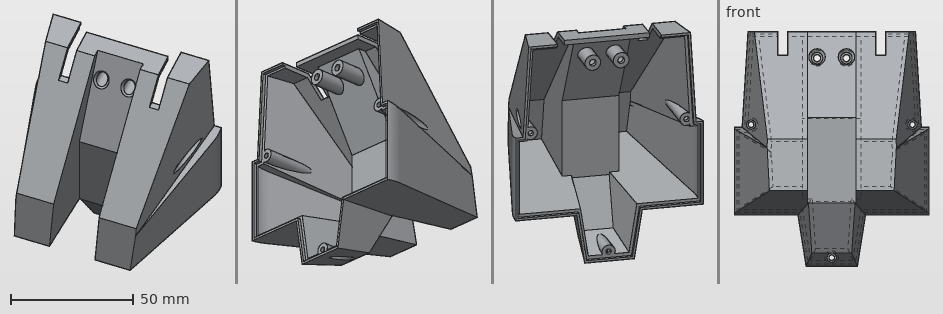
import cadquery as cq
import math

height = 96.0
depth = 65.0
half_width = 39.87
wall = 2.0
overrun = 5.0

lower_bottom_back_z = 21.0
nose_bottom_z = 31.0
lower_top_back_z = 57.0
lower_top_front_z = 48.5
nose_half_width = 25.5
side_slope = 0.2386
side_radius = 20.0

roof_depth = 15.0
brow_y = -60.4
brow_z = 52.2
upper_top_half_width = 34.3
upper_flare_per_z = -0.061
upper_flare_per_y = 0.176

tail_tip_half_width = 10.5
tail_flare = 0.160
tail_lip_y = -20.2
tail_lip_z = 5.6
tail_top_z = 26.0

channel_half_width = 10.0
channel_top_y = -11.7
channel_knee_y = -32.0
channel_knee_z = 61.0

recess_lip = 1.0
recess_depth = 1.5
plate_front_y = -4.1
slot_outer_x = 22.0
slot_width = 4.0
slot_depth = 9.6

corner_screw_xz = [(-33.0, 58.0), (33.0, 58.0), (0.0, 3.6)]
corner_hole_diameter = 2.2
corner_bore_diameter = 3.8
corner_boss_diameter = 5.6
corner_boss_reach = 40.0

plate_screw_xz = [(-6.0, 85.2), (6.0, 85.2)]
plate_hole_diameter = 2.8
plate_bore_diameter = 4.7
plate_boss_diameter = 6.6
mouth_chamfer = 1.0

screw_seat = 2.0


def line_at(start, end, position):
    """Second coordinate of the line start-end at the given first coordinate."""
    slope = (end[1] - start[1]) / (end[0] - start[0])
    return start[1] + slope * (position - start[0])


def nose_y(z):
    return line_at((nose_bottom_z, -depth), (brow_z, brow_y), z)


def bottom_z(y):
    return line_at((0, lower_bottom_back_z), (-depth, nose_bottom_z), y)


def shoulder_z(y):
    return line_at((0, lower_top_back_z), (nose_y(lower_top_front_z), lower_top_front_z), y)


def channel_floor_y(z):
    return line_at((height, channel_top_y), (channel_knee_z, channel_knee_y), z)


def side_profile(points, inset):
    """Extrude a YZ outline, shrunk by inset, right across the part."""
    outline = cq.Workplane("YZ").polyline(points).close()
    if inset:
        outline = outline.offset2D(-inset)
    return outline.extrude(half_width, both=True)


def flared_column(half_width_at_zero, per_z, per_y, inset):
    """Tall column whose flat sides flare with Z and Y, moved in by inset."""
    shift = inset * math.sqrt(1 + per_z**2 + per_y**2)

    def section(z):
        back = half_width_at_zero - shift + per_z * z + per_y * overrun
        front = half_width_at_zero - shift + per_z * z - per_y * depth
        corners = [(-back, overrun), (back, overrun), (front, -depth), (-front, -depth)]
        return cq.Wire.makePolygon([cq.Vector(x, y, z) for x, y in corners], close=True)

    return cq.Workplane(cq.Solid.makeLoft([section(-overrun), section(height)], True))


def lower_plan(inset):
    """Full-height column with the plan outline of the lower body."""
    angle = math.atan(side_slope)
    center_x = half_width - side_radius
    tangent_x = center_x + side_radius * math.cos(angle)
    tangent_y = (tangent_x - nose_half_width) / side_slope - depth
    center_y = tangent_y + side_radius * math.sin(angle)
    back_x = center_x + math.sqrt(side_radius**2 - (overrun - center_y) ** 2)
    outline = (
        cq.Workplane("XY")
        .moveTo(-nose_half_width, -depth)
        .lineTo(nose_half_width, -depth)
        .lineTo(tangent_x, tangent_y)
        .threePointArc((half_width, center_y), (back_x, overrun))
        .lineTo(-back_x, overrun)
        .threePointArc((-half_width, center_y), (-tangent_x, tangent_y))
        .close()
    )
    if inset:
        outline = outline.offset2D(-inset)
    return outline.extrude(height)


def lower_body(inset):
    points = [
        (overrun, bottom_z(overrun)),
        (-depth, nose_bottom_z),
        (nose_y(lower_top_front_z), lower_top_front_z),
        (overrun, shoulder_z(overrun)),
    ]
    return side_profile(points, inset).intersect(lower_plan(inset))


def upper_body(inset):
    drop = 3 * inset
    root_z = lower_top_front_z - drop
    points = [
        (overrun, shoulder_z(overrun) - drop),
        (nose_y(root_z), root_z),
        (brow_y, brow_z),
        (-roof_depth, height),
        (overrun, height),
    ]
    half_width_at_zero = upper_top_half_width - upper_flare_per_z * height
    column = flared_column(half_width_at_zero, upper_flare_per_z, upper_flare_per_y, inset)
    return side_profile(points, inset).intersect(column)


def tail_body(inset):
    root_z = tail_top_z + 3 * wall
    points = [
        (overrun, line_at((0, 0), (tail_lip_y, tail_lip_z), overrun)),
        (tail_lip_y, tail_lip_z),
        (channel_knee_y, tail_top_z),
        (channel_knee_y, root_z),
        (overrun, root_z),
    ]
    column = flared_column(tail_tip_half_width, tail_flare, tail_flare, inset)
    return side_profile(points, inset).intersect(column)


def channel(growth):
    """Space of the front channel, grown outward on its floor and flanks."""
    front_y = -depth - overrun
    top_z = height + overrun
    points = [
        (front_y, 0),
        (channel_knee_y, 0),
        (channel_knee_y, channel_knee_z),
        (channel_floor_y(top_z), top_z),
        (front_y, top_z),
    ]
    outline = cq.Workplane("YZ").polyline(points).close()
    if growth:
        outline = outline.offset2D(growth, "intersection")
    return outline.extrude(channel_half_width + growth, both=True)


def envelope(inset):
    return lower_body(inset).union(upper_body(inset)).union(tail_body(inset))


def behind_back_plane():
    size = 3 * height
    return cq.Workplane("XY").box(size, size, size).translate((0, size / 2, 0))


def y_cylinder(center_xz, diameter, back_y, front_y):
    x, z = center_xz
    base = cq.Workplane("XZ", origin=(x, back_y, z))
    return base.circle(diameter / 2).extrude(back_y - front_y)


def back_recess():
    """Shallow straight-walled pocket following the back outline, leaving a thin lip."""
    back = envelope(recess_lip).cut(behind_back_plane()).clean().faces(">Y")
    return back.workplane().add(back.wires()).toPending().extrude(-recess_depth, combine=False)


def corner_screws(body, outer):
    """Add the corner screw bosses, then bore them from the front."""
    seat_y = -recess_depth - screw_seat
    for center in corner_screw_xz:
        boss = y_cylinder(center, corner_boss_diameter, -recess_depth, -corner_boss_reach)
        body = body.union(boss.intersect(outer))
    for center in corner_screw_xz:
        body = body.cut(y_cylinder(center, corner_hole_diameter, 0, -depth))
        body = body.cut(y_cylinder(center, corner_bore_diameter, seat_y, -depth))
    return body


def tilted_ellipse(top, bottom, half_across):
    """Ellipse centered on X = 0 whose highest and lowest points are given as (Y, Z)."""
    rise = cq.Vector(0, top[0] - bottom[0], top[1] - bottom[1])
    across = cq.Vector(1, 0, 0)
    center = cq.Vector(0, (top[0] + bottom[0]) / 2, (top[1] + bottom[1]) / 2)
    return cq.Wire.makeEllipse(
        half_across, rise.Length / 2, center, across.cross(rise), across, rotation_angle=0
    )


def bore_mouth_chamfer(center_z):
    """Chamfer where a plate screw bore meets the leaning channel floor, at X = 0.

    The setback grows where the floor and the bore meet at a sharp angle (top)
    and shrinks where they meet at a blunt one (bottom).
    """
    radius = plate_bore_diameter / 2
    lean = math.atan2(channel_top_y - channel_knee_y, height - channel_knee_z)
    top_setback = mouth_chamfer / math.tan((math.pi / 2 - lean) / 2)
    bottom_setback = mouth_chamfer / math.tan((math.pi / 2 + lean) / 2)
    bore_top_z = center_z + radius
    bore_bottom_z = center_z - radius
    outer_top_z = bore_top_z + top_setback * math.cos(lean)
    outer_bottom_z = bore_bottom_z - bottom_setback * math.cos(lean)
    outer_edge = tilted_ellipse(
        (channel_floor_y(outer_top_z), outer_top_z),
        (channel_floor_y(outer_bottom_z), outer_bottom_z),
        radius + mouth_chamfer,
    )
    inner_edge = tilted_ellipse(
        (channel_floor_y(bore_top_z) + top_setback, bore_top_z),
        (channel_floor_y(bore_bottom_z) + bottom_setback, bore_bottom_z),
        radius,
    )
    return cq.Workplane(cq.Solid.makeLoft([outer_edge, inner_edge], True))


def plate_screws(body, outer):
    """Add the plate screw bosses, bore them and chamfer the mouths of the bores."""
    seat_y = plate_front_y - screw_seat
    for center in plate_screw_xz:
        boss = y_cylinder(center, plate_boss_diameter, plate_front_y, channel_knee_y)
        body = body.union(boss.intersect(outer))
    for x, z in plate_screw_xz:
        body = body.cut(y_cylinder((x, z), plate_hole_diameter, 0, -depth))
        body = body.cut(y_cylinder((x, z), plate_bore_diameter, seat_y, -depth))
        body = body.cut(bore_mouth_chamfer(z).translate((x, 0, 0)))
    return body


def plate_opening():
    """Cut in the roof behind the bridge, with a slot down the front at each end."""
    front_y = -depth
    opening = cq.Workplane("XY").box(
        2 * slot_outer_x, -plate_front_y, slot_depth, centered=(True, False, False)
    ).translate((0, plate_front_y, height - slot_depth))
    slot = cq.Workplane("XY").box(slot_width, -front_y, slot_depth, centered=(True, False, False))
    slot_x = slot_outer_x - slot_width / 2
    for x in (-slot_x, slot_x):
        opening = opening.union(slot.translate((x, front_y, height - slot_depth)))
    return opening


outer = envelope(0).cut(behind_back_plane()).cut(channel(0)).clean()
cavity = envelope(wall).cut(channel(wall))
shell = outer.cut(cavity).cut(back_recess())
shell = corner_screws(shell, outer)
shell = plate_screws(shell, outer)
result = shell.cut(plate_opening())